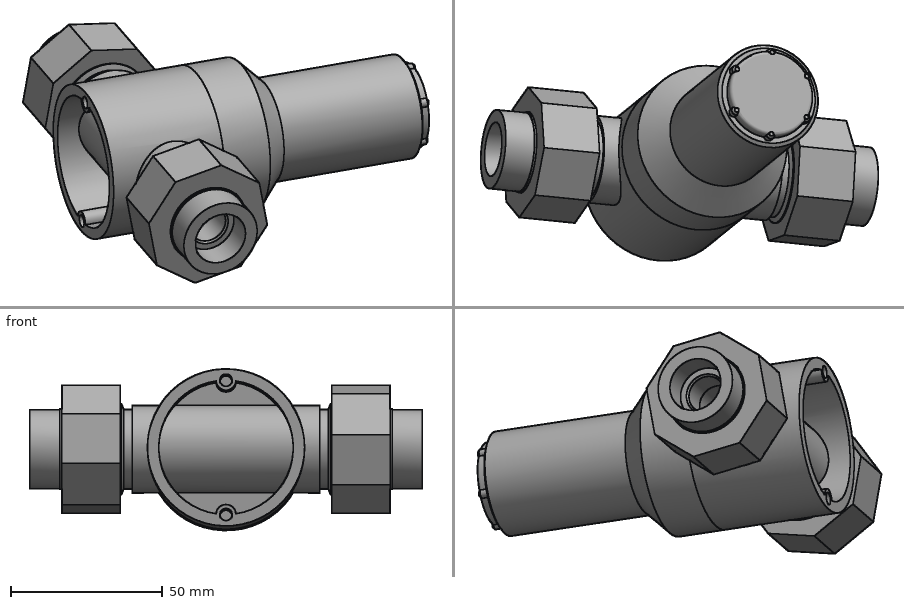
import cadquery as cq
import math

lean_angle = 1.6

housing_diameter = 52.0
front_to_axis = 22.1
axis_to_joint = 17.7
cavity_floor = 0.0
cavity_diameter = 44.5

post_diameter = 6.6
post_hole_diameter = 4.0
post_circle_radius = 22.2

axis_to_shoulder = 34.0
barrel_diameter = 35.1
axis_to_barrel_end = 92.8
barrel_edge_length = 0.8
barrel_edge_width = 1.3
shoulder_length = (housing_diameter - barrel_diameter) / 2

cap_diameter = 29.0
cap_height = 3.4
cap_edge = 1.2
lobe_count = 6
lobe_diameter = 3.0
lobe_circle_radius = 14.0
lobe_edge = 0.8

run_diameter = 29.0
run_half_length = 31.1
overall_half_length = 65.0

nut_inner_face = 35.0
nut_outer_face = 54.3
nut_across_flats = 40.2
nut_turn = 10.0
nut_sides = 8
nut_lip = 3.4
nut_lip_bore = 27.0
thread_diameter = 30.2

neck_diameter = 26.4
neck_bevel_start = 33.8
neck_bevel_end = 34.6
seal_face = 44.2

tail_diameter = 26.3
tail_step_diameter = 26.6
tail_step = 55.0
socket_diameter = 18.0
socket_floor = 55.0

bore_diameter = 12.5
bore_mouth_diameter = 13.8
bore_mouth_length = (bore_mouth_diameter - bore_diameter) / 2


def cylinder_y(diameter, start, end, x=0, z=0):
    """Cylinder along +Y from start to end."""
    plane = cq.Plane(origin=(x, start, z), xDir=(1, 0, 0), normal=(0, 1, 0))
    return cq.Workplane(plane).circle(diameter / 2).extrude(end - start)


def lean(body):
    """Swing a valve body about the pipe run."""
    return body.rotate((0, 0, 0), (1, 0, 0), -lean_angle)


def turned_x(outline):
    """Solid turned about the X axis from (distance, radius) points."""
    return cq.Workplane("XY").polyline(outline).close().revolve(360, (0, 0, 0), (1, 0, 0))


def make_tee():
    """Open housing ring crossed by the pipe run, with two screw posts inside."""
    ring = cylinder_y(housing_diameter, -front_to_axis, axis_to_joint)
    ring = ring.cut(cylinder_y(cavity_diameter, -front_to_axis, cavity_floor))
    run_plane = cq.Plane(origin=(-run_half_length, 0, 0), xDir=(0, -1, 0), normal=(1, 0, 0))
    run = cq.Workplane(run_plane).circle(run_diameter / 2).extrude(2 * run_half_length)
    tee = ring.union(run)
    for side in (-1, 1):
        z = side * post_circle_radius
        tee = tee.union(cylinder_y(post_diameter, -front_to_axis, axis_to_joint, z=z))
        tee = tee.cut(cylinder_y(post_hole_diameter, -front_to_axis, cavity_floor, z=z))
    return lean(tee)


def make_bonnet():
    """Closed bonnet behind the tee, tapering to the barrel."""
    housing_radius = housing_diameter / 2
    barrel_radius = barrel_diameter / 2
    outline = [
        (0, axis_to_joint),
        (housing_radius, axis_to_joint),
        (housing_radius, axis_to_shoulder),
        (barrel_radius, axis_to_shoulder + shoulder_length),
        (barrel_radius, axis_to_barrel_end - barrel_edge_length),
        (barrel_radius - barrel_edge_width, axis_to_barrel_end),
        (0, axis_to_barrel_end),
    ]
    bonnet = cq.Workplane("XY").polyline(outline).close().revolve(360, (0, 0, 0), (0, 1, 0))
    return lean(bonnet)


def make_cap():
    """Round-edged cap with grip lobes."""
    end = axis_to_barrel_end + cap_height
    cap = cylinder_y(cap_diameter, axis_to_barrel_end, end).faces(">Y").edges().fillet(cap_edge)
    for index in range(lobe_count):
        angle = math.radians(90 + index * 360 / lobe_count)
        x = lobe_circle_radius * math.cos(angle)
        z = lobe_circle_radius * math.sin(angle)
        lobe = cylinder_y(lobe_diameter, axis_to_barrel_end, end, x, z)
        cap = cap.union(lobe.faces(">Y").chamfer(lobe_edge))
    return lean(cap)


def make_neck():
    """Threaded neck seated on the end of the pipe run."""
    bore_radius = bore_diameter / 2
    return turned_x([
        (run_half_length, bore_radius),
        (run_half_length, neck_diameter / 2),
        (neck_bevel_start, neck_diameter / 2),
        (neck_bevel_end, thread_diameter / 2),
        (seal_face, thread_diameter / 2),
        (seal_face, bore_radius),
    ])


def make_tailpiece():
    """Pipe socket with a flange held by the nut."""
    flange_back = nut_outer_face - nut_lip
    return turned_x([
        (seal_face, bore_diameter / 2),
        (seal_face, thread_diameter / 2),
        (flange_back, thread_diameter / 2),
        (flange_back, tail_step_diameter / 2),
        (tail_step, tail_step_diameter / 2),
        (tail_step, tail_diameter / 2),
        (overall_half_length, tail_diameter / 2),
        (overall_half_length, socket_diameter / 2),
        (socket_floor, socket_diameter / 2),
        (socket_floor, bore_mouth_diameter / 2),
        (socket_floor - bore_mouth_length, bore_diameter / 2),
    ])


def make_nut():
    """Octagonal union nut with a lip that holds the tailpiece flange."""
    across_corners = nut_across_flats / math.cos(math.pi / nut_sides)
    turn = nut_turn + 180 / nut_sides
    length = nut_outer_face - nut_inner_face
    blank = cq.Workplane("YZ").polygon(nut_sides, across_corners).extrude(length)
    blank = blank.rotate((0, 0, 0), (1, 0, 0), turn)
    lip_bore = cq.Workplane("YZ").circle(nut_lip_bore / 2).extrude(length)
    thread_bore = cq.Workplane("YZ").circle(thread_diameter / 2).extrude(length - nut_lip)
    return blank.cut(lip_bore).cut(thread_bore).translate((nut_inner_face, 0, 0))


bodies = [make_tee().val(), make_bonnet().val(), make_cap().val()]
for half_turn in (0, 180):
    for union_part in (make_neck(), make_nut(), make_tailpiece()):
        bodies.append(union_part.rotate((0, 0, 0), (0, 0, 1), half_turn).val())

result = cq.Compound.makeCompound(bodies)